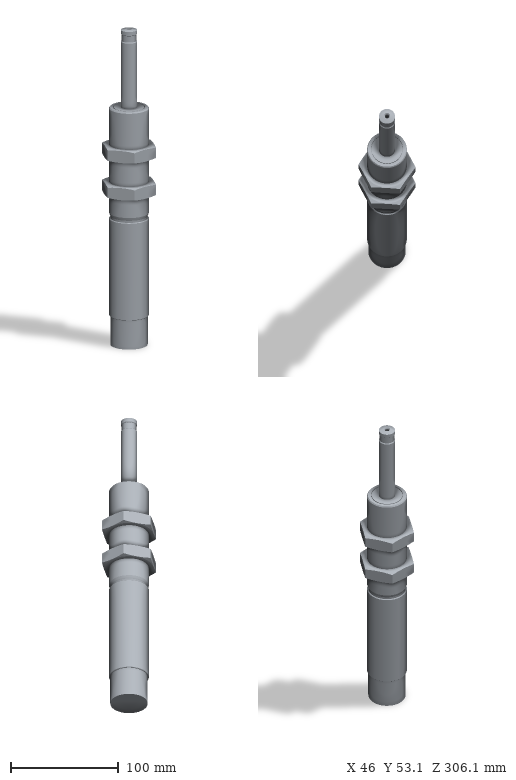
import cadquery as cq
import math

TOTAL_HEIGHT = 306.12
LOWER_END_HEIGHT = 28.3
GROOVE_BOTTOM = 123
GROOVE_TOP = 128
BODY_TOP = 230.3

BODY_DIAMETER = 37
LOWER_END_DIAMETER = 34.8
GROOVE_DIAMETER = 34.7
THREAD_ROOT_DIAMETER = 35.38
THREAD_END_TAPER_HEIGHT = 3
THREAD_START_TAPER_HEIGHT = 1.1
BODY_EDGE_CHAMFER = 0.5

RECESS_OUTER_DIAMETER = 30
RECESS_INNER_DIAMETER = 28.5
RECESS_DEPTH = 1

ROD_DIAMETER = 15
NECK_DIAMETER = 13.5
ROD_SHOULDER = TOTAL_HEIGHT - 11.5
ROD_CHAMFER = 0.75
HEAD_HEIGHT = 5.3
HEAD_EDGE_CHAMFER = 0.6
HEAD_DOME_RADIUS = 25
SOCKET_DIAMETER = 6
SOCKET_MOUTH_DEPTH = 1
SOCKET_BORE_DIAMETER = 4
SOCKET_DEPTH = 10

NUT_ACROSS_FLATS = 46
NUT_HEIGHT = 12
NUT_CHAMFER_DIAMETER = 45
NUT_CHAMFER_ANGLE = 15
NUT_BOTTOMS = (146.2, 182.2)


def make_absorber():
    """Body, piston rod and rod head as one turned solid with a blind socket in the rod head."""
    body_radius = BODY_DIAMETER / 2
    root_radius = THREAD_ROOT_DIAMETER / 2
    groove_radius = GROOVE_DIAMETER / 2
    lower_radius = LOWER_END_DIAMETER / 2
    rod_radius = ROD_DIAMETER / 2
    neck_radius = NECK_DIAMETER / 2
    head_bottom = TOTAL_HEIGHT - HEAD_HEIGHT
    socket_radius = SOCKET_DIAMETER / 2
    bore_radius = SOCKET_BORE_DIAMETER / 2
    dome_center = TOTAL_HEIGHT - math.sqrt(HEAD_DOME_RADIUS**2 - socket_radius**2)
    dome_mid_radius = (rod_radius + socket_radius) / 2

    def dome_height(radius):
        return dome_center + math.sqrt(HEAD_DOME_RADIUS**2 - radius**2)

    outer_profile = [
        (lower_radius, 0),
        (lower_radius, LOWER_END_HEIGHT),
        (body_radius - BODY_EDGE_CHAMFER, LOWER_END_HEIGHT),
        (body_radius, LOWER_END_HEIGHT + BODY_EDGE_CHAMFER),
        (body_radius, GROOVE_BOTTOM - BODY_EDGE_CHAMFER),
        (body_radius - BODY_EDGE_CHAMFER, GROOVE_BOTTOM),
        (groove_radius, GROOVE_BOTTOM),
        (groove_radius, GROOVE_TOP - THREAD_END_TAPER_HEIGHT),
        (body_radius, GROOVE_TOP),
        (body_radius, BODY_TOP - THREAD_START_TAPER_HEIGHT),
        (root_radius, BODY_TOP),
        (RECESS_OUTER_DIAMETER / 2, BODY_TOP),
        (RECESS_OUTER_DIAMETER / 2, BODY_TOP - RECESS_DEPTH),
        (RECESS_INNER_DIAMETER / 2, BODY_TOP - RECESS_DEPTH),
        (RECESS_INNER_DIAMETER / 2, BODY_TOP),
        (rod_radius, BODY_TOP),
        (rod_radius, ROD_SHOULDER - ROD_CHAMFER),
        (neck_radius, ROD_SHOULDER),
        (neck_radius, head_bottom),
        (rod_radius - HEAD_EDGE_CHAMFER, head_bottom),
        (rod_radius, head_bottom + HEAD_EDGE_CHAMFER),
        (rod_radius, dome_height(rod_radius)),
    ]
    socket_profile = [
        (bore_radius, TOTAL_HEIGHT - SOCKET_MOUTH_DEPTH),
        (bore_radius, TOTAL_HEIGHT - SOCKET_DEPTH),
        (0, TOTAL_HEIGHT - SOCKET_DEPTH),
    ]
    profile = cq.Workplane("XZ").polyline([(0, 0), *outer_profile])
    profile = profile.threePointArc(
        (dome_mid_radius, dome_height(dome_mid_radius)), (socket_radius, TOTAL_HEIGHT)
    )
    for point in socket_profile:
        profile = profile.lineTo(*point)
    return profile.close().revolve(360, (0, 0), (0, 1))


def make_nut(bottom):
    """Hexagon nut with corners on the Y axis and the corners of both faces turned to a shallow cone."""
    across_corners = NUT_ACROSS_FLATS / math.cos(math.radians(30))
    hexagon = (
        cq.Workplane("XY")
        .polygon(6, across_corners)
        .extrude(NUT_HEIGHT)
        .rotate((0, 0, 0), (0, 0, 1), 30)
    )
    face_radius = NUT_CHAMFER_DIAMETER / 2
    cone_slope = math.tan(math.radians(NUT_CHAMFER_ANGLE))
    mid_height = NUT_HEIGHT / 2
    blank_radius = face_radius + mid_height / cone_slope
    blank_profile = [
        (0, 0),
        (face_radius, 0),
        (blank_radius, mid_height),
        (face_radius, NUT_HEIGHT),
        (0, NUT_HEIGHT),
    ]
    turned_blank = cq.Workplane("XZ").polyline(blank_profile).close().revolve(360, (0, 0), (0, 1))
    bore = cq.Workplane("XY").circle(BODY_DIAMETER / 2).extrude(NUT_HEIGHT)
    return hexagon.intersect(turned_blank).cut(bore).translate((0, 0, bottom))


absorber = make_absorber()
nuts = [make_nut(bottom) for bottom in NUT_BOTTOMS]

result = cq.Compound.makeCompound([absorber.val(), *[nut.val() for nut in nuts]])